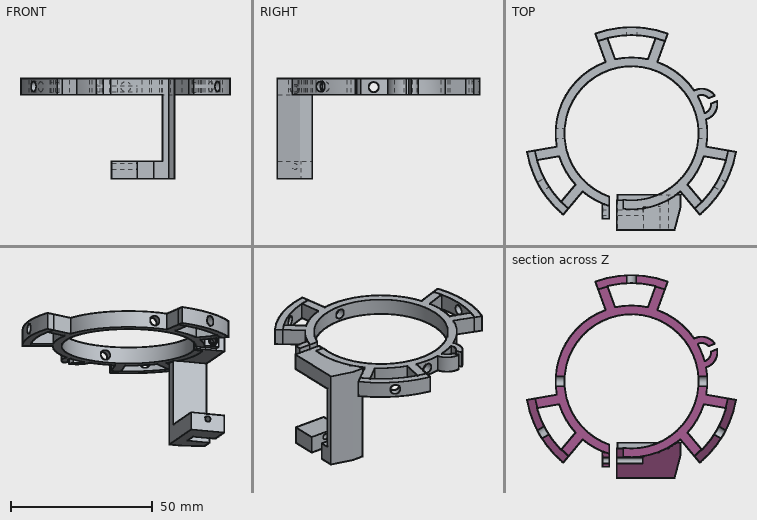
import cadquery as cq
import math

overall_width = 73.8
overall_height = 35.4
plate_height = 5.8
tiny = 0.1

bore_radius = 23.6
ring_radius = 26.8
ring_gap_left = -7.8
ring_gap_right = -2.95
side_hole_diameter = 3.5
side_hole_depth = 3.1

lobe_angles = (90, 210, 330)
lobe_half_angle = 20.0
spoke_width = 3.55
segment_inner_radius = 34.6
widest_point_angle = 360 - max(lobe_angles) - lobe_half_angle
segment_radius = overall_width / 2 / math.cos(math.radians(widest_point_angle))
segment_hole_diameter = 3.55
segment_hole_depth = 2.9

clip_angle = 22.5
clip_radius = 5.5
clip_inner_radius = 3.25
clip_slot_width = 2.0

screw_y = -27.9
screw_diameter = 2.1
clamp_screw_depth = 3.7

tab_thickness = 2.5
tab_back = -24.0
tab_front = -30.1
tab_recess_diameter = 3.25
tab_recess_depth = 0.15

bracket_front = -34.1
bracket_back = -21.6
arm_left = -5.25
wall_right = 15.2
wall_thickness = 2.2
rib_right = 17.35
rib_taper_start = -26.0
foot_left = -5.0
foot_height = 6.3
foot_screw_depth = 31.0
notch_left = 4.1
notch_right = 9.9
notch_back = -25.75


def block(x_min, x_max, y_min, y_max, z_min, z_max):
    """Box between the given limits."""
    size = (x_max - x_min, y_max - y_min, z_max - z_min)
    return cq.Workplane("XY").box(*size, centered=False).translate((x_min, y_min, z_min))


def cylinder(radius):
    """Vertical cylinder on the Z axis, as high as the plate, that hangs from Z = 0."""
    return cq.Workplane("XY").circle(radius).extrude(-plate_height)


def hole_along_x(x_start, length, y, z, diameter):
    """Cylinder that starts at x_start and runs toward +X."""
    start = cq.Workplane("YZ", origin=(x_start, y, z))
    return start.circle(diameter / 2).extrude(length)


def sector(radius):
    """Pie slice of one lobe, symmetric about +X, with its point on the Z axis."""
    angle = math.radians(lobe_half_angle)
    x = radius * math.cos(angle)
    y = radius * math.sin(angle)
    outline = cq.Workplane("XY").lineTo(x, -y).threePointArc((radius, 0), (x, y)).close()
    return outline.extrude(-plate_height)


def turned(body, angle):
    """Body turned about the Z axis."""
    return body.rotate((0, 0, 0), (0, 0, 1), angle)


def make_spokes():
    """Two spokes of one lobe, each running along a side of the sector."""
    window_shift = spoke_width / math.sin(math.radians(lobe_half_angle))
    window = sector(segment_radius).translate((window_shift, 0, 0))
    lobe = sector(segment_inner_radius).cut(cylinder(bore_radius))
    return lobe.cut(window.cut(cylinder(ring_radius)))


def make_clip():
    """C-shaped clip, open away from the ring."""
    clip = cylinder(clip_radius).cut(cylinder(clip_inner_radius))
    half_slot = clip_slot_width / 2
    clip = clip.cut(block(0, clip_radius + tiny, -half_slot, half_slot, -plate_height, 0))
    clip = clip.translate((ring_radius, 0, 0)).cut(cylinder(ring_radius))
    return turned(clip, clip_angle)


def make_ring():
    """Open ring with its spokes, clip and side holes."""
    ring = cylinder(ring_radius).cut(cylinder(bore_radius))
    for angle in lobe_angles:
        ring = ring.union(turned(make_spokes(), angle))
    ring = ring.union(make_clip())
    ring = ring.cut(
        block(ring_gap_left, ring_gap_right, -ring_radius - tiny, 0, -plate_height, 0)
    )
    drill = hole_along_x(
        -ring_radius, 2 * ring_radius, 0, -side_hole_depth, side_hole_diameter
    )
    return ring.cut(drill)


def make_segment(angle):
    """Outer segment of one lobe with a radial hole through its middle."""
    segment = sector(segment_radius).cut(cylinder(segment_inner_radius))
    drill = hole_along_x(
        ring_radius, segment_radius, 0, -segment_hole_depth, segment_hole_diameter
    )
    return turned(segment.cut(drill), angle)


def make_tab():
    """Clamp tab, fitted against the ring, with a shallow recess around the screw hole."""
    left = ring_gap_left - tab_thickness
    tab = block(left, ring_gap_left, tab_front, tab_back, -plate_height, 0)
    tab = tab.cut(cylinder(ring_radius))
    tab = tab.cut(
        hole_along_x(left, tab_thickness, screw_y, -clamp_screw_depth, screw_diameter)
    )
    return tab.cut(
        hole_along_x(left, tab_recess_depth, screw_y, -clamp_screw_depth, tab_recess_diameter)
    )


def make_bracket(ring):
    """C-shaped bracket with a matching recess for the end of the ring."""
    bottom = -overall_height
    wall_left = wall_right - wall_thickness
    foot_top = bottom + foot_height

    arm = block(arm_left, wall_right, bracket_front, -bore_radius, -plate_height, 0)
    wall = block(wall_left, wall_right, bracket_front, bracket_back, bottom, 0)
    foot = block(foot_left, wall_right, bracket_front, bracket_back, bottom, foot_top)
    notch = block(notch_left, notch_right, bracket_front, notch_back, bottom, foot_top)
    rib = (
        cq.Workplane("XY")
        .polyline([
            (wall_right, bracket_front),
            (rib_right, rib_taper_start),
            (rib_right, bracket_back),
            (wall_right, bracket_back),
        ])
        .close()
        .extrude(bottom)
    )
    bracket = arm.union(wall).union(foot).union(rib).cut(notch)

    screw_length = notch_left - foot_left
    clamp_hole = hole_along_x(
        arm_left, screw_length, screw_y, -clamp_screw_depth, screw_diameter
    )
    foot_hole = hole_along_x(
        foot_left, screw_length, screw_y, -foot_screw_depth, screw_diameter
    )
    return bracket.cut(clamp_hole).cut(foot_hole).cut(ring)


ring = make_ring()
tab = make_tab()
bracket = make_bracket(ring)
segments = [make_segment(angle) for angle in lobe_angles]

result = cq.Compound.makeCompound([
    ring.solids().val(),
    tab.solids().val(),
    bracket.solids().val(),
    *[segment.solids().val() for segment in segments],
])